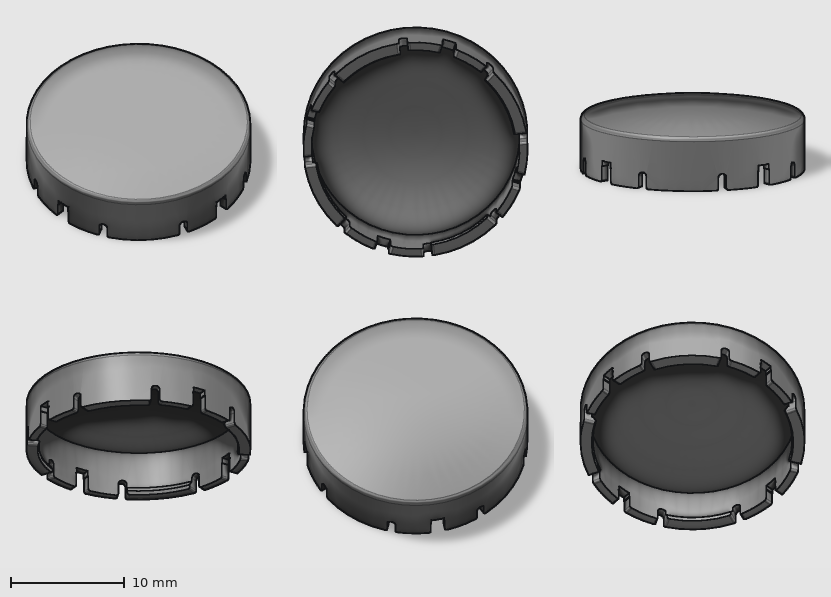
import cadquery as cq
import math

outer_radius = 9.85
height = 6.0
wall = 0.7
inner_radius = outer_radius - wall
rim_radius = 0.4
rim_start = 4.47

rim_centre = outer_radius - rim_radius
rim_depth = height - rim_start
dome_radius = (rim_centre**2 + rim_depth**2 - rim_radius**2) / (2 * (rim_depth - rim_radius))
dome_centre = height - dome_radius

wide_slot_width = 1.26
wide_slot_height = 1.42
window_width = 1.15
window_height = 1.91
narrow_slot_width = 0.73
narrow_slot_height = 1.5
mouth_radius = 0.22
narrow_slot_angle = 24
quadrant = 90
quadrant_starts = range(0, 360, quadrant)

bead_radius = 8.75
bead_tip_height = 0.32
bead_top = 0.83
bead_bottom_radius = 8.86
bead_angle = quadrant - 2 * narrow_slot_angle


def make_cap():
    rim_end_angle = math.atan2(rim_start - dome_centre, rim_centre)
    rim_mid_angle = rim_end_angle / 2
    rim_end = (
        rim_centre + rim_radius * math.cos(rim_end_angle),
        rim_start + rim_radius * math.sin(rim_end_angle),
    )
    rim_mid = (
        rim_centre + rim_radius * math.cos(rim_mid_angle),
        rim_start + rim_radius * math.sin(rim_mid_angle),
    )

    def dome_point(radius, x):
        return x, dome_centre + math.sqrt(radius**2 - x**2)

    inside_dome_radius = dome_radius - wall
    return (
        cq.Workplane("XZ")
        .moveTo(inner_radius, 0)
        .lineTo(outer_radius, 0)
        .lineTo(outer_radius, rim_start)
        .threePointArc(rim_mid, rim_end)
        .threePointArc(dome_point(dome_radius, rim_end[0] / 2), (0, height))
        .lineTo(0, height - wall)
        .threePointArc(
            dome_point(inside_dome_radius, inner_radius / 2),
            dome_point(inside_dome_radius, inner_radius),
        )
        .close()
        .revolve(360, (0, 0), (0, 1))
    )


def make_bead(start_angle):
    """Ridge on the inner wall, swept over one snap tab."""
    overlap_radius = inner_radius + wall / 2
    return (
        cq.Workplane("XZ")
        .polyline([
            (overlap_radius, 0),
            (bead_bottom_radius, 0),
            (bead_radius, bead_tip_height),
            (inner_radius, bead_top),
            (overlap_radius, bead_top),
        ])
        .close()
        .revolve(bead_angle, (0, 0), (0, 1))
        .rotate((0, 0, 0), (0, 0, 1), start_angle)
    )


def slot_mouth(half_width):
    """Open slot outline, started at its upper left and flared at the bottom."""
    flare = half_width + mouth_radius
    bend = mouth_radius * (1 - math.sqrt(0.5))
    return (
        cq.Workplane("YZ")
        .moveTo(-half_width, mouth_radius)
        .threePointArc((-half_width - bend, bend), (-flare, 0))
        .lineTo(flare, 0)
        .threePointArc((half_width + bend, bend), (half_width, mouth_radius))
    )


def make_wide_slot():
    half_width = wide_slot_width / 2
    half_window = window_width / 2
    return (
        slot_mouth(half_width)
        .lineTo(half_width, wide_slot_height)
        .lineTo(half_window, wide_slot_height)
        .lineTo(half_window, window_height)
        .lineTo(-half_window, window_height)
        .lineTo(-half_window, wide_slot_height)
        .lineTo(-half_width, wide_slot_height)
        .close()
        .extrude(outer_radius + wall)
    )


def make_narrow_slot():
    half_width = narrow_slot_width / 2
    arch_start = narrow_slot_height - half_width
    return (
        slot_mouth(half_width)
        .lineTo(half_width, arch_start)
        .threePointArc((0, narrow_slot_height), (-half_width, arch_start))
        .close()
        .extrude(outer_radius + wall)
    )


def turned(shape, angle):
    return shape.rotate((0, 0, 0), (0, 0, 1), angle)


result = make_cap()
for start in quadrant_starts:
    result = result.union(make_bead(start + narrow_slot_angle))
for start in quadrant_starts:
    result = result.cut(turned(make_wide_slot(), start))
    result = result.cut(turned(make_narrow_slot(), start + narrow_slot_angle))
    result = result.cut(turned(make_narrow_slot(), start - narrow_slot_angle))